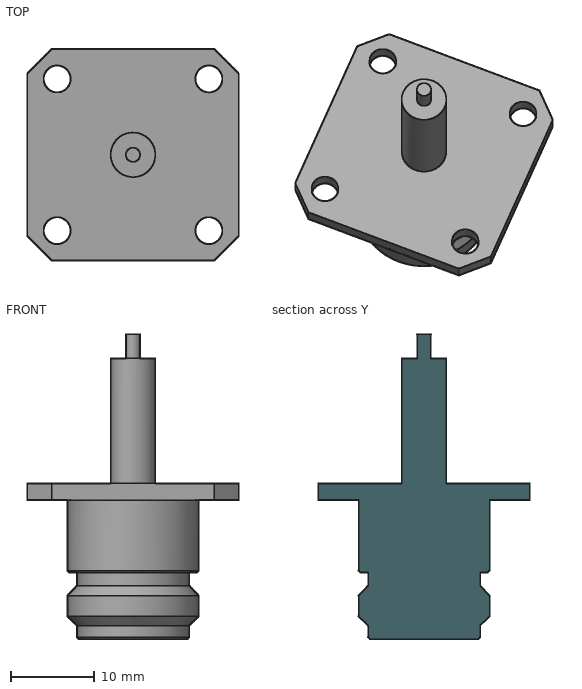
import cadquery as cq

flange_side = 25.4
flange_thickness = 2.0
corner_cut = 2.95
mount_hole_diameter = 3.2
mount_hole_spacing = 18.2

rod_diameter = 5.35
rod_length = 15.0
pin_diameter = 1.7
pin_length = 2.9

body_diameter = 15.8
neck_diameter = 13.5
edge_chamfer = 0.25
body_bottom = -10.7
neck_bottom = -12.25
collar_top = -13.45
collar_bottom = -15.95
nose_top = -17.05
nose_bottom = -18.7


def make_flange():
    """Square plate with cut corners and four through holes."""
    plate = cq.Workplane("XY").box(
        flange_side, flange_side, flange_thickness, centered=(True, True, False)
    )
    plate = plate.translate((0, 0, -flange_thickness)).edges("|Z").chamfer(corner_cut)
    return (
        plate.faces(">Z")
        .workplane()
        .rect(mount_hole_spacing, mount_hole_spacing, forConstruction=True)
        .vertices()
        .hole(mount_hole_diameter)
    )


def make_body():
    """Revolved body: barrel, neck groove, bevelled collar and nose."""
    body_radius = body_diameter / 2
    neck_radius = neck_diameter / 2
    profile = [
        (0, -flange_thickness),
        (body_radius, -flange_thickness),
        (body_radius, body_bottom + edge_chamfer),
        (body_radius - edge_chamfer, body_bottom),
        (neck_radius, body_bottom),
        (neck_radius, neck_bottom),
        (body_radius, collar_top),
        (body_radius, collar_bottom),
        (neck_radius, nose_top),
        (neck_radius, nose_bottom + edge_chamfer),
        (neck_radius - edge_chamfer, nose_bottom),
        (0, nose_bottom),
    ]
    return cq.Workplane("XZ").polyline(profile).close().revolve(360, (0, 0), (0, 1))


def make_post(diameter, height):
    """Upright cylinder standing on the flange's top face."""
    return cq.Workplane("XY").circle(diameter / 2).extrude(height)


rod = make_post(rod_diameter, rod_length)
pin = make_post(pin_diameter, rod_length + pin_length)

result = make_flange().union(make_body()).union(rod).union(pin)